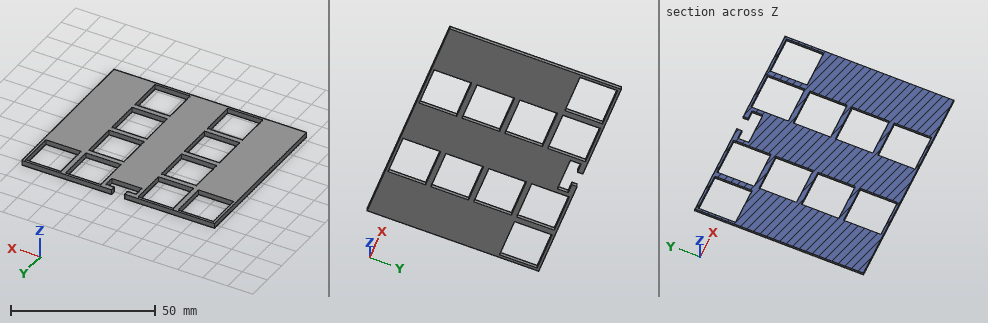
import cadquery as cq

plate_width = 77.0
plate_depth = 64.0
plate_thickness = 2.0

window_size = 14.0
web = 2.0
inner_column_rows = 4
spine_width = 15.0

notch_mouth_width = 5.25
notch_lip_depth = 2.0
notch_pocket_width = 12.0
notch_total_depth = 6.0

window_pitch = window_size + web
back_edge_y = plate_depth / 2
end_margin = (plate_depth - inner_column_rows * window_pitch + web) / 2
back_row_y = back_edge_y - end_margin - window_size / 2
inner_column_x = (spine_width + window_size) / 2
outer_column_x = inner_column_x + window_pitch


def through_cutter(width, depth, center_x, center_y):
    """Rectangular block spanning the full plate thickness."""
    return cq.Workplane("XY").center(center_x, center_y).rect(width, depth).extrude(plate_thickness)


def cut_windows(plate):
    """Full-length inner columns, and one back-row window in each outer column."""
    for side in (-1, 1):
        for row in range(inner_column_rows):
            row_y = back_row_y - row * window_pitch
            plate = plate.cut(through_cutter(window_size, window_size, side * inner_column_x, row_y))
        plate = plate.cut(through_cutter(window_size, window_size, side * outer_column_x, back_row_y))
    return plate


def cut_notch(plate):
    """Narrow mouth through the back edge, widening to a pocket behind the lips."""
    pocket_depth = notch_total_depth - notch_lip_depth
    pocket_y = back_edge_y - notch_lip_depth - pocket_depth / 2
    mouth_y = back_edge_y - notch_total_depth / 2
    plate = plate.cut(through_cutter(notch_pocket_width, pocket_depth, 0, pocket_y))
    return plate.cut(through_cutter(notch_mouth_width, notch_total_depth, 0, mouth_y))


plate = cq.Workplane("XY").rect(plate_width, plate_depth).extrude(plate_thickness)
result = cut_notch(cut_windows(plate))